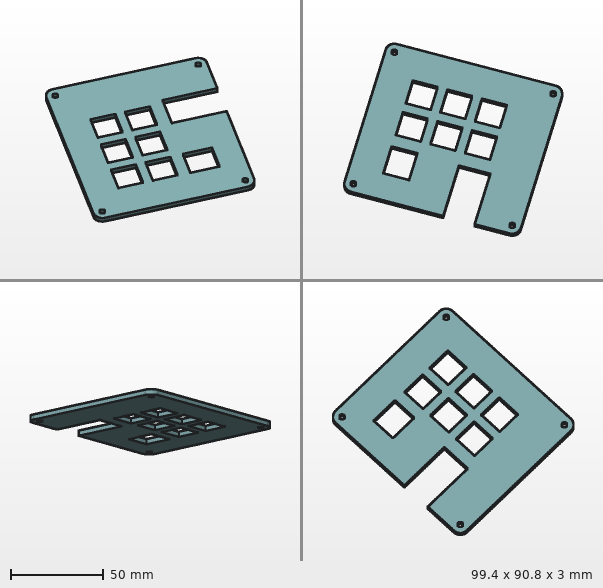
import cadquery as cq

plate_length = 99.4
plate_width = 90.8
plate_thickness = 3.0
corner_radius = 5.0

mount_hole_diameter = 3.0

notch_width = 17.7
notch_depth = 31.0
notch_center_x = -16.1

key_size = 14.0
key_pitch = 19.5
key_columns = 3
key_rows = 2
first_key_x = -15.4
first_key_y = -0.6

large_window_length = 14.5
large_window_width = 16.5
large_window_x = 23.7
large_window_y = 21.8


def window(length, width, center_x, center_y):
    """Rectangular cutter through the full plate thickness."""
    cutter = cq.Workplane("XY").rect(length, width).extrude(plate_thickness)
    return cutter.translate((center_x, center_y, 0))


def rounded_plate():
    plate = cq.Workplane("XY").rect(plate_length, plate_width).extrude(plate_thickness)
    return plate.edges("|Z").fillet(corner_radius)


def mounting_holes():
    spacing_x = plate_length - 2 * corner_radius
    spacing_y = plate_width - 2 * corner_radius
    centers = cq.Workplane("XY").rect(spacing_x, spacing_y, forConstruction=True).vertices()
    return centers.circle(mount_hole_diameter / 2).extrude(plate_thickness)


def edge_notch():
    notch_center_y = plate_width / 2 - notch_depth / 2
    return window(notch_width, notch_depth, notch_center_x, notch_center_y)


result = rounded_plate().cut(mounting_holes()).cut(edge_notch())

for column in range(key_columns):
    for row in range(key_rows):
        key_x = first_key_x + column * key_pitch
        key_y = first_key_y - row * key_pitch
        result = result.cut(window(key_size, key_size, key_x, key_y))

result = result.cut(window(large_window_length, large_window_width, large_window_x, large_window_y))